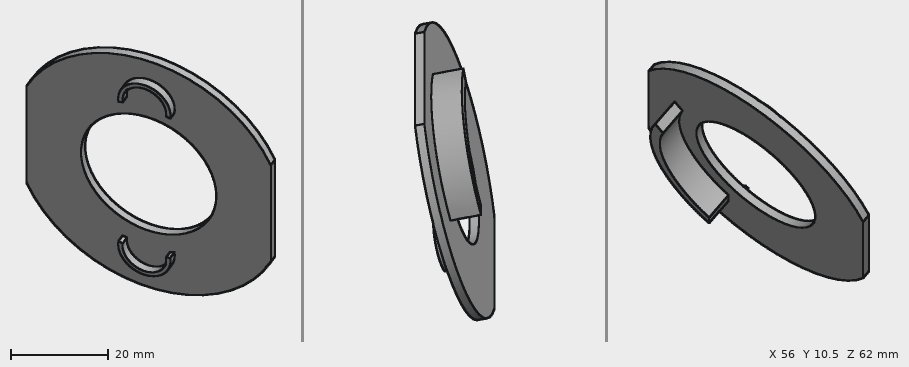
import cadquery as cq
import math

plate_radius = 31.0
plate_width = 56.0
plate_thickness = 2.0
bore_diameter = 31.0

rib_outer_radius = 6.0
rib_inner_radius = 5.0
rib_height = 2.0
rib_offset = 20.0
rib_outer_overrun = 8.6
rib_inner_overrun = 7.2

wall_outer_radius = 22.5
wall_inner_radius = 20.0
wall_height = 6.5
wall_lower_end_x = 7.1
wall_upper_inner_angle = 17.1
wall_upper_outer_angle = 19.8


def polar(radius, angle):
    """XZ point at a radius and an angle in degrees measured from +X towards +Z."""
    radians = math.radians(angle)
    return (radius * math.cos(radians), radius * math.sin(radians))


def arc_band(inner_radius, outer_radius, inner_angles, outer_angles):
    """XZ outline between two concentric arcs, joined by straight ends."""
    inner_start, inner_end = inner_angles
    outer_start, outer_end = outer_angles
    inner_middle = (inner_start + inner_end) / 2
    outer_middle = (outer_start + outer_end) / 2
    return (
        cq.Workplane("XZ")
        .moveTo(*polar(outer_radius, outer_start))
        .threePointArc(polar(outer_radius, outer_middle), polar(outer_radius, outer_end))
        .lineTo(*polar(inner_radius, inner_end))
        .threePointArc(polar(inner_radius, inner_middle), polar(inner_radius, inner_start))
        .close()
    )


def make_plate():
    """Disc trimmed to the plate width, with its front face at Y = 0."""
    disc = cq.Workplane("XZ").circle(plate_radius).extrude(-plate_thickness)
    trim = cq.Workplane("XZ").rect(plate_width, 2 * plate_radius).extrude(-plate_thickness)
    bore = cq.Workplane("XZ").circle(bore_diameter / 2).extrude(-plate_thickness)
    return disc.intersect(trim).cut(bore)


def make_rib(side):
    """C-shaped rib opening towards the bore; side is +1 above it and -1 below it."""
    inner_half_sweep = 90 + rib_inner_overrun
    outer_half_sweep = 90 + rib_outer_overrun
    middle = side * 90
    rib = arc_band(
        rib_inner_radius,
        rib_outer_radius,
        (middle - inner_half_sweep, middle + inner_half_sweep),
        (middle - outer_half_sweep, middle + outer_half_sweep),
    ).extrude(rib_height)
    return rib.translate((0, 0, side * rib_offset))


def make_wall():
    """Arc wall standing on the back face of the plate."""
    lower_inner_angle = -math.degrees(math.acos(wall_lower_end_x / wall_inner_radius))
    lower_outer_angle = -math.degrees(math.acos(wall_lower_end_x / wall_outer_radius))
    outline = arc_band(
        wall_inner_radius,
        wall_outer_radius,
        (lower_inner_angle, wall_upper_inner_angle),
        (lower_outer_angle, wall_upper_outer_angle),
    )
    return outline.extrude(-wall_height).translate((0, plate_thickness, 0))


result = make_plate().union(make_wall())
for rib_side in (1, -1):
    result = result.union(make_rib(rib_side))